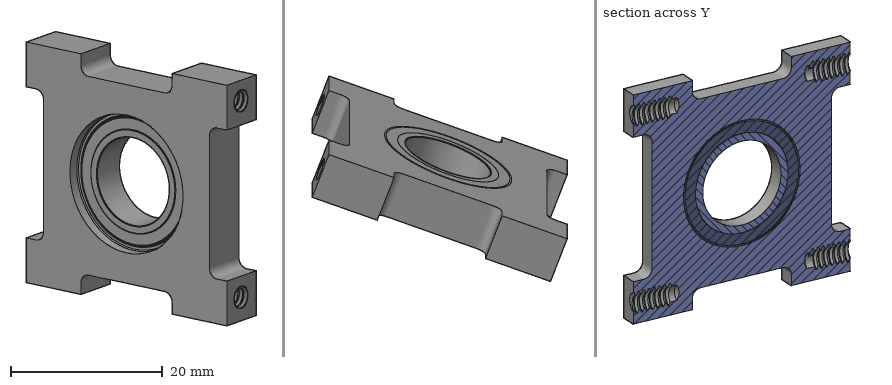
import cadquery as cq
import math

WIDTH = 33.53
HEIGHT = 33.03
THICKNESS = 6.35
NOTCH_DEPTH = 2.9
TOP_NOTCH_WIDTH = 15.22
SIDE_NOTCH_HEIGHT = 20.72
NOTCH_FILLET = 1.27

RECESS_RADIUS = 9.45
RECESS_DEPTH = 1.68
RECESS_FLOOR_BEVEL_WIDTH = 0.15
RECESS_FLOOR_BEVEL_HEIGHT = 0.2

OUTER_RING_RADIUS = 8.95
SHIELD_RADIUS = 8.72
INNER_RING_RADIUS = 7.1
BORE_RADIUS = 6.0
RING_CHAMFER = 0.1
BORE_CHAMFER = 0.1

HOLE_SPACING = 26.95
HOLE_RADIUS = 1.3
HOLE_DEPTH = 6.7
DRILL_POINT_ANGLE = 118.0
THREAD_PITCH = 0.8
THREAD_DEPTH = 0.4
THREAD_FLANK_ANGLE = 30.0
THREAD_ROOT_WIDTH = THREAD_PITCH / 8
THREAD_START_ANGLE = 135.0
THREAD_OVERLAP = 0.07

FRONT_Y = -THICKNESS / 2
BACK_Y = THICKNESS / 2
RECESS_FLOOR_Y = FRONT_Y + RECESS_DEPTH


def cylinder_y(radius, start_y, end_y):
    """A solid cylinder along Y from start_y to end_y."""
    plane = cq.Plane(origin=(0, start_y, 0), xDir=(1, 0, 0), normal=(0, 1, 0))
    return cq.Workplane(plane).circle(radius).extrude(end_y - start_y)


def bearing_ring(outer_radius, inner_radius, step_count):
    """A ring from the back of the plate to step_count chamfer heights above the recess floor."""
    front_y = RECESS_FLOOR_Y - step_count * RING_CHAMFER
    outside = cylinder_y(outer_radius, front_y, BACK_Y).faces("<Y").chamfer(RING_CHAMFER)
    return outside.cut(cylinder_y(inner_radius, front_y, BACK_Y))


def make_plate():
    """The plate with a round-cornered notch in the middle of each side."""
    plate = cq.Workplane("XY").box(WIDTH, THICKNESS, HEIGHT)
    for side in (-1, 1):
        top_notch = (
            cq.Workplane("XY")
            .box(TOP_NOTCH_WIDTH, THICKNESS, 2 * NOTCH_DEPTH)
            .edges("|Y")
            .fillet(NOTCH_FILLET)
            .translate((0, 0, side * HEIGHT / 2))
        )
        side_notch = (
            cq.Workplane("XY")
            .box(2 * NOTCH_DEPTH, THICKNESS, SIDE_NOTCH_HEIGHT)
            .edges("|Y")
            .fillet(NOTCH_FILLET)
            .translate((side * WIDTH / 2, 0, 0))
        )
        plate = plate.cut(top_notch).cut(side_notch)
    return plate


def make_recess():
    """The cutter for the front recess and the bearing seat behind it."""
    recess = cylinder_y(RECESS_RADIUS, FRONT_Y, RECESS_FLOOR_Y)
    floor_edge = recess.faces(">Y").edges()
    recess = floor_edge.chamfer(RECESS_FLOOR_BEVEL_HEIGHT, RECESS_FLOOR_BEVEL_WIDTH)
    seat = cylinder_y(OUTER_RING_RADIUS, RECESS_FLOOR_Y, BACK_Y)
    return recess.union(seat)


def make_drilled_hole():
    """The cutter for a drilled hole with a conical end, running up from the origin."""
    point_depth = HOLE_RADIUS / math.tan(math.radians(DRILL_POINT_ANGLE / 2))
    return (
        cq.Workplane("XZ")
        .lineTo(HOLE_RADIUS, 0)
        .lineTo(HOLE_RADIUS, HOLE_DEPTH)
        .lineTo(0, HOLE_DEPTH + point_depth)
        .close()
        .revolve(360, (0, 0, 0), (0, 1, 0))
    )


def make_thread_groove():
    """The cutter for the helical groove, from one pitch below the origin to one pitch short of the hole depth."""
    root_half = THREAD_ROOT_WIDTH / 2
    flank_slope = math.tan(math.radians(THREAD_FLANK_ANGLE))
    mouth_half = root_half + (THREAD_DEPTH + THREAD_OVERLAP) * flank_slope
    mouth_radius = HOLE_RADIUS - THREAD_OVERLAP
    root_radius = HOLE_RADIUS + THREAD_DEPTH
    helix = cq.Workplane(cq.Wire.makeHelix(THREAD_PITCH, HOLE_DEPTH, HOLE_RADIUS))
    groove = (
        cq.Workplane("XZ")
        .polyline([
            (mouth_radius, -mouth_half),
            (root_radius, -root_half),
            (root_radius, root_half),
            (mouth_radius, mouth_half),
        ])
        .close()
        .sweep(helix, isFrenet=True)
    )
    return groove.translate((0, 0, -THREAD_PITCH)).rotate((0, 0, 0), (0, 0, 1), THREAD_START_ANGLE)


def make_housing():
    """The plate with its bearing recess and the threaded holes in its four lugs."""
    housing = make_plate().cut(make_recess())
    cutters = (make_drilled_hole(), make_thread_groove())
    for end_turn in (0, 180):
        for side in (-1, 1):
            for cutter in cutters:
                placed = (
                    cutter.rotate((0, 0, 0), (0, 1, 0), 90)
                    .translate((-WIDTH / 2, 0, side * HOLE_SPACING / 2))
                    .rotate((0, 0, 0), (0, 0, 1), end_turn)
                )
                housing = housing.cut(placed)
    return housing


def make_outer_ring():
    """The outer bearing ring, seated in the housing."""
    return bearing_ring(OUTER_RING_RADIUS, SHIELD_RADIUS, step_count=1)


def make_shield():
    """The ring that fills the space between the two bearing rings."""
    return bearing_ring(SHIELD_RADIUS, INNER_RING_RADIUS, step_count=2)


def make_inner_ring():
    """The inner bearing ring, with its bore chamfered at both ends."""
    ring = bearing_ring(INNER_RING_RADIUS, BORE_RADIUS, step_count=3)
    bore_edges = ring.edges(cq.selectors.RadiusNthSelector(0))
    return bore_edges.chamfer(BORE_CHAMFER)


housing = make_housing()
outer_ring = make_outer_ring()
shield = make_shield()
inner_ring = make_inner_ring()

result = cq.Compound.makeCompound([
    housing.val(),
    outer_ring.val(),
    shield.val(),
    inner_ring.val(),
])